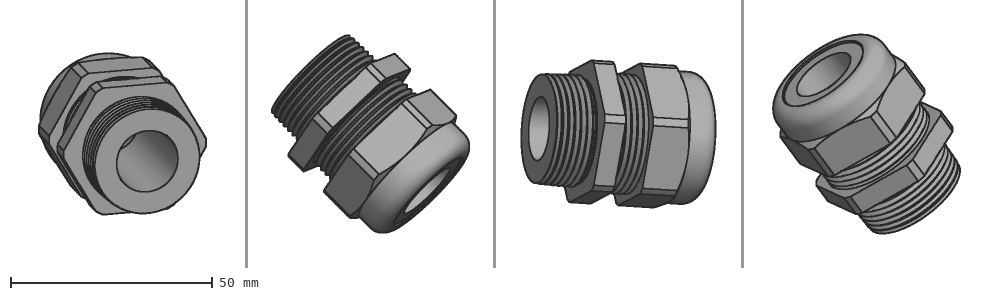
import cadquery as cq
import math


total_length = 41.9
dome_length = 7.85
cap_length = 18.2
flange_start = 25.5
flange_end = 30.97
relief_end = 31.5

across_flats = 33.03
across_corners = 36.95
corner_chamfer_angle = 30.0

dome_radius = across_flats / 2
dome_fillet = 3.8

insert_radius = 11.95
insert_front = 0.4
insert_back = dome_length
insert_chamfer_width = 0.3
insert_chamfer_depth = 0.15
bore_radius = 7.95

thread_pitch = 1.6
thread_height = 1.3
cap_thread_radius = 15.05
cap_thread_first_crest = 19.7
cap_thread_teeth = 4
cap_thread_end = cap_thread_first_crest + cap_thread_teeth * thread_pitch
end_thread_radius = 14.0
end_thread_first_crest = 32.6
crest_taper_start = 34.35
crest_taper_end_radius = 13.7
trim_margin = 0.4

relief_start_radius = 12.85
relief_end_radius = 13.3


def cylinder(radius, start, end):
    """Round bar along X between two stations."""
    return cq.Workplane("YZ", origin=(start, 0, 0)).circle(radius).extrude(end - start)


def revolved(profile):
    """Full turn about X of a closed profile in the XY plane."""
    return profile.revolve(360, (0, 0, 0), (1, 0, 0))


def turned(points):
    """Solid of revolution about X from (x, radius) points."""
    return revolved(cq.Workplane("XY").polyline(points).close())


def hexagon(start, end):
    """Hexagonal prism with flats facing up and down and its corners turned round."""
    full_corners = across_flats / math.cos(math.pi / 6)
    prism = cq.Workplane("YZ", origin=(start, 0, 0)).polygon(6, full_corners).extrude(end - start)
    return prism.intersect(cylinder(across_corners / 2, start, end))


def thread(crest_radius, first_crest, start, end):
    """Ring-shaped V teeth at a constant pitch, trimmed to the span from start to end."""
    root_radius = crest_radius - thread_height
    teeth_before = math.ceil((first_crest - start) / thread_pitch)
    teeth_after = math.ceil((end - first_crest) / thread_pitch)
    first_root = first_crest - (teeth_before + 0.5) * thread_pitch
    points = [(first_root, 0), (first_root, root_radius)]
    for tooth in range(teeth_before + teeth_after + 1):
        root = first_root + tooth * thread_pitch
        points.append((root + thread_pitch / 2, crest_radius))
        points.append((root + thread_pitch, root_radius))
    last_root = points[-1][0]
    points.append((last_root, 0))
    return turned(points).intersect(cylinder(crest_radius + trim_margin, start, end))


def make_dome():
    return cylinder(dome_radius, 0, dome_length).faces("<X").edges().fillet(dome_fillet)


def make_cap_hexagon():
    """Hexagon whose front corners are chamfered by a cone that starts from the dome."""
    corner_radius = across_corners / 2
    corner_height = corner_radius - dome_radius
    chamfer_end = dome_length + corner_height * math.tan(math.radians(corner_chamfer_angle))
    chamfer_envelope = turned([
        (dome_length, 0),
        (dome_length, dome_radius),
        (chamfer_end, corner_radius),
        (cap_length, corner_radius),
        (cap_length, 0),
    ])
    return hexagon(dome_length, cap_length).intersect(chamfer_envelope)


def make_flange():
    """Hexagonal flange, recessed in front to let the last thread groove run out."""
    runout = cylinder(cap_thread_radius, flange_start, cap_thread_end)
    return hexagon(flange_start, flange_end).cut(runout)


def make_relief():
    """Round neck with a hollow flare: its arc leaves the flange parallel to the axis."""
    width = relief_end - flange_end
    rise = relief_end_radius - relief_start_radius
    sagitta = math.hypot(width, rise) / 2 * math.tan(math.atan2(rise, width) / 2)
    profile = (
        cq.Workplane("XY")
        .moveTo(flange_end, 0)
        .lineTo(flange_end, relief_start_radius)
        .sagittaArc((relief_end, relief_end_radius), sagitta)
        .lineTo(relief_end, 0)
        .close()
    )
    return revolved(profile)


def make_end_thread():
    teeth = thread(end_thread_radius, end_thread_first_crest, relief_end, total_length)
    crest_envelope = turned([
        (relief_end, 0),
        (relief_end, end_thread_radius),
        (crest_taper_start, end_thread_radius),
        (total_length, crest_taper_end_radius),
        (total_length, 0),
    ])
    return teeth.intersect(crest_envelope)


def make_housing():
    outside = (
        make_dome()
        .union(make_cap_hexagon())
        .union(thread(cap_thread_radius, cap_thread_first_crest, cap_length, cap_thread_end))
        .union(make_flange())
        .union(make_relief())
        .union(make_end_thread())
    )
    insert_socket = cylinder(insert_radius, 0, insert_back)
    bore = cylinder(bore_radius, insert_back, total_length)
    return outside.cut(insert_socket).cut(bore)


def make_insert():
    """Sealing ring with a chamfered front edge, filling the socket behind the dome's mouth."""
    plug = turned([
        (insert_front, 0),
        (insert_front, insert_radius - insert_chamfer_width),
        (insert_front + insert_chamfer_depth, insert_radius),
        (insert_back, insert_radius),
        (insert_back, 0),
    ])
    return plug.cut(cylinder(bore_radius, insert_front, insert_back))


housing = make_housing()
insert = make_insert()

result = cq.Compound.makeCompound([housing.solids().val(), insert.solids().val()])